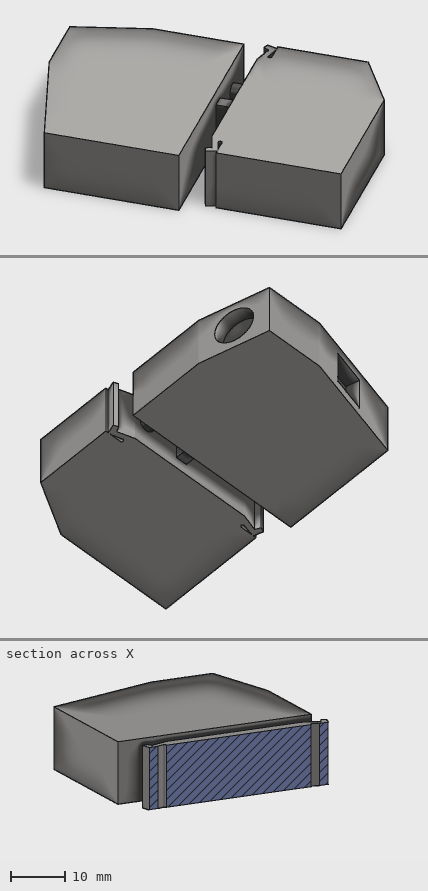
import cadquery as cq
import math

thickness = 12.0

housing_width = 32.4
housing_length = 40.0
entry_foot_x = 6.4
entry_top_y = 23.4
screw_face_y = 36.1
screw_face_x = 14.8

overall_width = 62.8
gap = 3.85
plug_length = 38.1
plug_bottom_y = 2.9
plug_top_y = plug_bottom_y + plug_length
plug_middle_y = plug_bottom_y + plug_length / 2
plug_left_x = housing_width + gap
plug_shoulder_x = plug_left_x + 2.4
corner_x = 56.1
corner_y = 29.5

arm_root_drop = 5.2
arm_neck_drop = 1.6
arm_neck_reach = 1.1
barb_drop = 1.0
tip_reach = 0.4
hook_heel_drop = 0.6
slit_apex_drop = 1.2
slit_radius = 0.35
slit_bottom_drop = 4.05

entry_size = 7.7
entry_centre_y = 13.35
screw_diameter = 8.4
recess_depth = 3.0

pin_diameter = 3.2
pin_y = 32.95
blade_y = 24.1
blade_width = 2.5
blade_height = 6.3


def plate(points):
    """Extrude a closed outline over the full thickness, centred on Z = 0."""
    return cq.Workplane("XY").polyline(points).close().extrude(thickness / 2, both=True)


def face_plane(start, end, y):
    """Plane on the wall from start to end at height y, facing left of that direction."""
    run_x = end[0] - start[0]
    run_y = end[1] - start[1]
    x = start[0] + run_x * (y - start[1]) / run_y
    return cq.Plane(origin=(x, y, 0), xDir=(0, 0, 1), normal=(-run_y, run_x, 0))


def wire_housing():
    entry_foot = (entry_foot_x, 0)
    entry_top = (0, entry_top_y)
    screw_low = (0, screw_face_y)
    screw_high = (screw_face_x, housing_length)
    body = plate([
        entry_foot,
        entry_top,
        screw_low,
        screw_high,
        (housing_width, housing_length),
        (housing_width, 0),
    ])

    entry_plane = face_plane(entry_foot, entry_top, entry_centre_y)
    entry = cq.Workplane(entry_plane).rect(entry_size, entry_size).extrude(-recess_depth)

    screw_centre_y = (screw_face_y + housing_length) / 2
    screw_plane = face_plane(screw_low, screw_high, screw_centre_y)
    screw = cq.Workplane(screw_plane).circle(screw_diameter / 2).extrude(-recess_depth)
    return body.cut(entry).cut(screw)


def plug_block():
    return plate([
        (plug_left_x, plug_bottom_y + arm_root_drop),
        (plug_left_x, plug_top_y - arm_root_drop),
        (plug_shoulder_x, plug_top_y - arm_root_drop),
        (plug_shoulder_x, plug_top_y),
        (corner_x, plug_top_y),
        (overall_width, corner_y),
        (overall_width, plug_bottom_y),
        (plug_shoulder_x, plug_bottom_y),
        (plug_shoulder_x, plug_bottom_y + arm_root_drop),
    ])


def latch_hook():
    """Barbed arm at the +Y end, parted from the block by a tapered, round-bottomed slit."""
    arm = plate([
        (plug_left_x, plug_top_y - arm_root_drop),
        (plug_left_x + arm_neck_reach, plug_top_y - arm_neck_drop),
        (plug_left_x, plug_top_y - barb_drop),
        (plug_left_x + tip_reach, plug_top_y),
        (plug_shoulder_x, plug_top_y - hook_heel_drop),
        (plug_shoulder_x, plug_top_y - arm_root_drop),
    ])

    apex_y = plug_top_y - slit_apex_drop
    centre_x = plug_shoulder_x - slit_radius
    centre_y = plug_top_y - slit_bottom_drop + slit_radius
    taper = 2 * math.atan2(slit_radius, apex_y - centre_y)
    tangent = (
        centre_x - slit_radius * math.cos(taper),
        centre_y + slit_radius * math.sin(taper),
    )
    slit = (
        cq.Workplane("XY")
        .moveTo(plug_shoulder_x, apex_y)
        .lineTo(*tangent)
        .threePointArc((centre_x, centre_y - slit_radius), (plug_shoulder_x, centre_y))
        .close()
        .extrude(thickness / 2, both=True)
    )
    return arm.cut(slit)


def plug_housing():
    upper_hook = latch_hook()
    lower_hook = upper_hook.mirror("XZ", (0, plug_middle_y, 0))
    return plug_block().union(upper_hook).union(lower_hook)


def links():
    """Round pin and flat blade that bridge the gap between the housings."""
    gap_side = cq.Workplane("YZ", origin=(housing_width, 0, 0))
    pin = gap_side.center(pin_y, 0).circle(pin_diameter / 2).extrude(gap)
    blade = gap_side.center(blade_y, 0).rect(blade_width, blade_height).extrude(gap)
    return pin.union(blade)


result = wire_housing().union(links()).union(plug_housing())